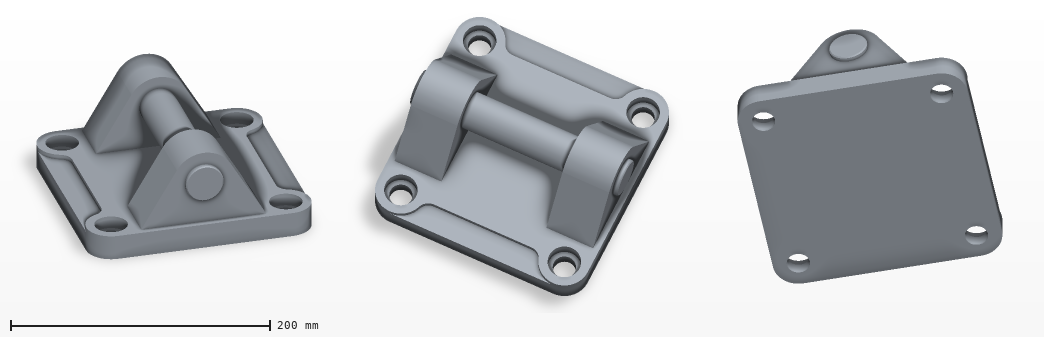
import cadquery as cq
import math

plate_size = 180.0
plate_thickness = 20.0
corner_radius = 20.0
corner_offset = plate_size / 2 - corner_radius

step_depth = 4.0
step_blend_radius = 10.0

hole_diameter = 18.0
counterbore_diameter = 26.0
counterbore_depth = 10.0

total_height = 80.0
lug_radius = 25.0
lug_width = 40.0
lug_foot_length = 100.0
lug_outer_x = 85.0
pin_height = total_height - lug_radius

pin_diameter = 30.0
pin_length = 178.0
pin_chamfer = 0.9


def make_plate():
    plate = cq.Workplane("XY").box(plate_size, plate_size, plate_thickness, centered=(True, True, False))
    return plate.edges("|Z").fillet(corner_radius)


def make_back_step():
    """Cutter that leaves a round island at each corner, blended into the straight wall."""
    blend_center_dx = math.sqrt((corner_radius + step_blend_radius) ** 2 - step_blend_radius ** 2)
    blend_x = corner_offset - blend_center_dx
    blend_y = corner_offset + step_blend_radius
    island_share = corner_radius / (corner_radius + step_blend_radius)
    touch_x = corner_offset - blend_center_dx * island_share
    touch_y = corner_offset + step_blend_radius * island_share

    touch_angle = math.atan2(step_blend_radius, blend_center_dx)
    blend_angle = -(math.pi / 2 + touch_angle) / 2
    blend_mid_x = blend_x + step_blend_radius * math.cos(blend_angle)
    blend_mid_y = blend_y + step_blend_radius * math.sin(blend_angle)
    island_angle = (math.pi / 2 + touch_angle) / 2
    island_mid_x = corner_offset - corner_radius * math.cos(island_angle)
    island_mid_y = corner_offset + corner_radius * math.sin(island_angle)

    edge_y = plate_size / 2
    return (
        cq.Workplane("XY", origin=(0, 0, plate_thickness - step_depth))
        .moveTo(-blend_x, corner_offset)
        .lineTo(blend_x, corner_offset)
        .threePointArc((blend_mid_x, blend_mid_y), (touch_x, touch_y))
        .threePointArc((island_mid_x, island_mid_y), (corner_offset, edge_y))
        .lineTo(-corner_offset, edge_y)
        .threePointArc((-island_mid_x, island_mid_y), (-touch_x, touch_y))
        .threePointArc((-blend_mid_x, blend_mid_y), (-blend_x, corner_offset))
        .close()
        .extrude(step_depth)
    )


def make_lug(start_x):
    """Lug with a round top and straight flanks tangent to it."""
    half_foot = lug_foot_length / 2
    rise = pin_height - plate_thickness
    tangent_angle = math.acos(lug_radius / math.hypot(half_foot, rise)) - math.atan2(rise, half_foot)
    tangent_y = lug_radius * math.cos(tangent_angle)
    tangent_z = pin_height + lug_radius * math.sin(tangent_angle)
    return (
        cq.Workplane("YZ", origin=(start_x, 0, 0))
        .moveTo(-half_foot, plate_thickness)
        .lineTo(half_foot, plate_thickness)
        .lineTo(tangent_y, tangent_z)
        .threePointArc((0, total_height), (-tangent_y, tangent_z))
        .close()
        .extrude(lug_width)
    )


def make_pin():
    return (
        cq.Workplane("YZ", origin=(-pin_length / 2, 0, pin_height))
        .circle(pin_diameter / 2)
        .extrude(pin_length)
        .faces("<X or >X")
        .chamfer(pin_chamfer)
    )


back_step = make_back_step()
base = make_plate().cut(back_step).cut(back_step.mirror("XZ"))
base = (
    base.cut(
        cq.Workplane("XY")
        .rect(2 * corner_offset, 2 * corner_offset, forConstruction=True)
        .vertices()
        .circle(hole_diameter / 2)
        .extrude(plate_thickness)
    )
    .cut(
        cq.Workplane("XY", origin=(0, 0, plate_thickness - counterbore_depth))
        .rect(2 * corner_offset, 2 * corner_offset, forConstruction=True)
        .vertices()
        .circle(counterbore_diameter / 2)
        .extrude(counterbore_depth)
    )
)

result = base.union(make_pin())
for lug_start_x in (-lug_outer_x, lug_outer_x - lug_width):
    result = result.union(make_lug(lug_start_x))